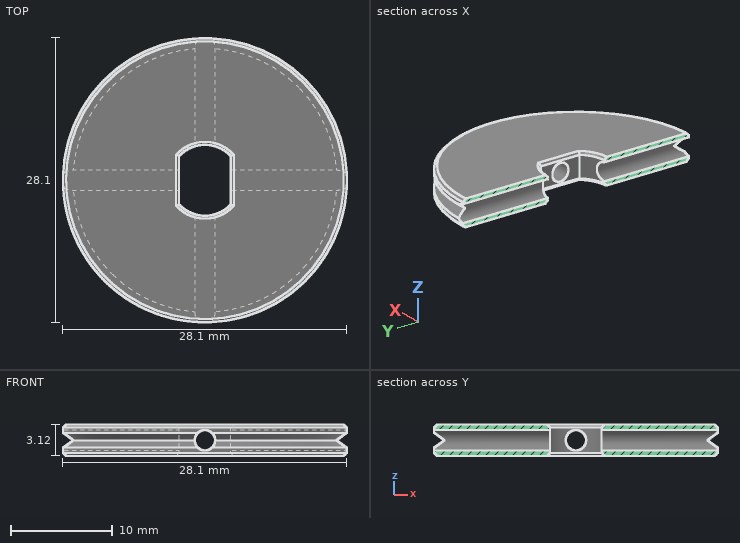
import cadquery as cq

disc_diameter = 28.12
disc_thickness = 3.12
rim_chamfer = 0.32

rim_land_width = 0.5
groove_depth = 1.0

bore_diameter = 7.0
bore_across_flats = 5.1
bore_chamfer = 0.3

cross_hole_diameter = 2.0

seam_angle = 45

disc_radius = disc_diameter / 2
half_thickness = disc_thickness / 2
groove_half_width = half_thickness - rim_chamfer - rim_land_width


def grooved_disc():
    """Solid disc with chamfered rims and a V-groove, its seam between the cross holes."""
    face_radius = disc_radius - rim_chamfer
    land_outer_z = half_thickness - rim_chamfer
    return (
        cq.Workplane("XZ")
        .moveTo(0, -half_thickness)
        .lineTo(face_radius, -half_thickness)
        .lineTo(disc_radius, -land_outer_z)
        .lineTo(disc_radius, -groove_half_width)
        .lineTo(disc_radius - groove_depth, 0)
        .lineTo(disc_radius, groove_half_width)
        .lineTo(disc_radius, land_outer_z)
        .lineTo(face_radius, half_thickness)
        .lineTo(0, half_thickness)
        .close()
        .revolve(360, (0, 0, 0), (0, 1, 0))
        .rotate((0, 0, 0), (0, 0, 1), seam_angle)
    )


def double_flat_bore():
    """Cutter for the bore, flared at both ends by the bore chamfer."""
    bore_radius = bore_diameter / 2
    mouth_radius = bore_radius + bore_chamfer
    straight_half_length = half_thickness - bore_chamfer
    round_part = (
        cq.Workplane("XZ")
        .moveTo(0, -half_thickness)
        .lineTo(mouth_radius, -half_thickness)
        .lineTo(bore_radius, -straight_half_length)
        .lineTo(bore_radius, straight_half_length)
        .lineTo(mouth_radius, half_thickness)
        .lineTo(0, half_thickness)
        .close()
        .revolve(360, (0, 0, 0), (0, 1, 0))
    )
    flat_x = bore_across_flats / 2
    mouth_x = flat_x + bore_chamfer
    flats_part = (
        cq.Workplane("XZ")
        .moveTo(-mouth_x, -half_thickness)
        .lineTo(mouth_x, -half_thickness)
        .lineTo(flat_x, -straight_half_length)
        .lineTo(flat_x, straight_half_length)
        .lineTo(mouth_x, half_thickness)
        .lineTo(-mouth_x, half_thickness)
        .lineTo(-flat_x, straight_half_length)
        .lineTo(-flat_x, -straight_half_length)
        .close()
        .extrude(mouth_radius * 2, both=True)
    )
    return round_part.intersect(flats_part)


def cross_hole():
    """Cutter along X for one hole through the full diameter, its seam turned clear of the groove root."""
    return (
        cq.Workplane("YZ")
        .circle(cross_hole_diameter / 2)
        .extrude(disc_radius, both=True)
        .rotate((0, 0, 0), (1, 0, 0), seam_angle)
    )


result = grooved_disc().cut(double_flat_bore())
for hole_angle in (0, 90):
    result = result.cut(cross_hole().rotate((0, 0, 0), (0, 0, 1), hole_angle))